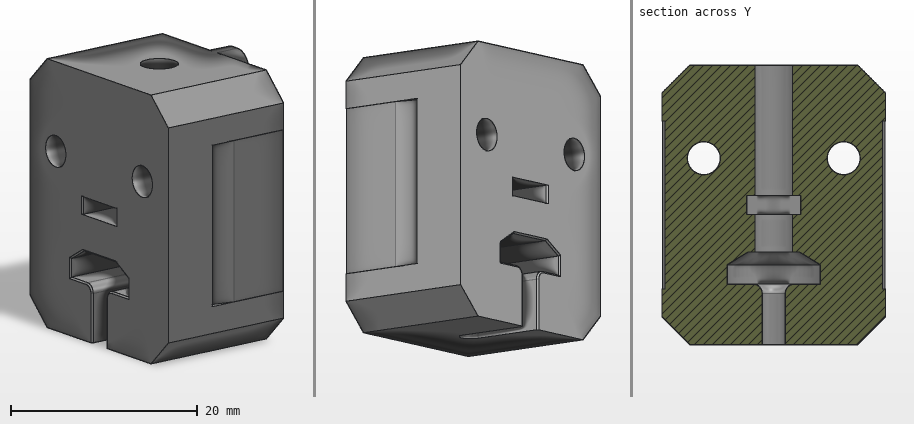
import cadquery as cq
import math

WIDTH = 24.0
HEIGHT = 30.0
BODY_DEPTH = 15.75
CORNER_CHAMFER = 3.0

KEY_LENGTH = 2.82
KEY_WIDTH = 5.0
KEY_BOTTOM = 9.95
KEY_FILLET = 2.0
KEY_DRAFT = 2.2

THROUGH_HOLE_DIAMETER = 3.5
THROUGH_HOLE_X = 7.5
THROUGH_HOLE_Z = 20.0

AXIS_Y = 8.22
BORE_DIAMETER = 4.08

NECK_RADIUS = 1.23
HEAD_RADIUS = 4.98
HEAD_FLOOR = 6.5
HEAD_SHOULDER = 8.58
ROOF_TOP = 9.93
ROOF_TOP_RADIUS = 2.75
NECK_FILLET = 1.0
ENTRY_CHAMFER = 0.18

POCKET_WIDTH = 5.8
POCKET_HEIGHT = 2.0
POCKET_Z = HEIGHT / 2
POCKET_DEPTH = AXIS_Y + POCKET_WIDTH / 2

GRIP_BOTTOM = 6.0
GRIP_HEIGHT = HEIGHT - 2 * GRIP_BOTTOM
GRIP_LENGTH = 9.75
GRIP_RAMP_LENGTH = 3.0
GRIP_SHALLOW_DEPTH = 0.05
GRIP_DEEP_DEPTH = 0.78


def make_body():
    block = cq.Workplane("XY").box(WIDTH, BODY_DEPTH, HEIGHT, centered=(True, False, False))
    return block.edges("|Y").chamfer(CORNER_CHAMFER)


def make_key():
    """Round-cornered key whose sides and underside taper towards the tip."""
    taper = KEY_LENGTH * math.tan(math.radians(KEY_DRAFT))

    def section(y, inset):
        bottom = KEY_BOTTOM + inset
        outline = cq.Sketch().rect(KEY_WIDTH - 2 * inset, HEIGHT - bottom)
        outline = outline.vertices().fillet(KEY_FILLET)
        middle = cq.Vector(0, y, (HEIGHT + bottom) / 2)
        return outline.moved(cq.Location(cq.Plane(middle, xDir=(1, 0, 0), normal=(0, -1, 0))))

    root = section(BODY_DEPTH, 0)
    tip = section(BODY_DEPTH + KEY_LENGTH, taper)
    return cq.Workplane("XY").placeSketch(root, tip).loft()


def slot_profile():
    """Half of the T-slot section, from the axis outwards."""
    arc_middle = NECK_FILLET * (1 - math.sqrt(0.5))
    return (
        cq.Workplane("XZ")
        .moveTo(0, 0)
        .lineTo(NECK_RADIUS, 0)
        .lineTo(NECK_RADIUS, HEAD_FLOOR - NECK_FILLET)
        .threePointArc(
            (NECK_RADIUS + arc_middle, HEAD_FLOOR - arc_middle),
            (NECK_RADIUS + NECK_FILLET, HEAD_FLOOR),
        )
        .lineTo(HEAD_RADIUS, HEAD_FLOOR)
        .lineTo(HEAD_RADIUS, HEAD_SHOULDER)
        .lineTo(ROOF_TOP_RADIUS, ROOF_TOP)
        .lineTo(0, ROOF_TOP)
        .close()
    )


def make_slot():
    """Cutter: half sections swept to the front, and turned about the axis for the end."""
    round_end = slot_profile().revolve(360, (0, 0), (0, 1))
    half = slot_profile().extrude(AXIS_Y)
    slot = round_end.union(half).union(half.mirror("YZ"))
    return slot.translate((0, AXIS_Y, 0))


def make_pocket():
    pocket = cq.Workplane("XY").box(
        POCKET_WIDTH, POCKET_DEPTH, POCKET_HEIGHT, centered=(True, False, True)
    )
    mouth = (
        cq.Workplane("XY")
        .polyline([
            (-POCKET_WIDTH / 2 - ENTRY_CHAMFER, 0),
            (POCKET_WIDTH / 2 + ENTRY_CHAMFER, 0),
            (POCKET_WIDTH / 2, ENTRY_CHAMFER),
            (-POCKET_WIDTH / 2, ENTRY_CHAMFER),
        ])
        .close()
        .extrude(POCKET_HEIGHT / 2, both=True)
    )
    return pocket.union(mouth).translate((0, 0, POCKET_Z))


def make_left_grip():
    side = -WIDTH / 2
    front = BODY_DEPTH - GRIP_LENGTH
    return (
        cq.Workplane("XY", origin=(0, 0, GRIP_BOTTOM))
        .polyline([
            (side, front),
            (side + GRIP_DEEP_DEPTH, front),
            (side + GRIP_SHALLOW_DEPTH, front + GRIP_RAMP_LENGTH),
            (side + GRIP_SHALLOW_DEPTH, BODY_DEPTH),
            (side, BODY_DEPTH),
        ])
        .close()
        .extrude(GRIP_HEIGHT)
    )


def chamfer_slot_entry(block):
    """Bevel the edges where the T-slot opens in the front face, leaving the block outline sharp."""
    reach = HEAD_RADIUS + ENTRY_CHAMFER
    opening = cq.selectors.BoxSelector(
        (-reach, -ENTRY_CHAMFER, ENTRY_CHAMFER),
        (reach, ENTRY_CHAMFER, ROOF_TOP + ENTRY_CHAMFER),
    )
    return block.faces("<Y").edges(opening).chamfer(ENTRY_CHAMFER)


body = make_body().cut(make_slot())
body = chamfer_slot_entry(body)

bore = cq.Workplane("XY", origin=(0, AXIS_Y, HEAD_SHOULDER))
bore = bore.circle(BORE_DIAMETER / 2).extrude(HEIGHT - HEAD_SHOULDER)
body = body.cut(bore).cut(make_pocket())

left_grip = make_left_grip()
body = body.cut(left_grip).cut(left_grip.mirror("YZ"))

through_holes = (
    cq.Workplane("XZ")
    .pushPoints([(-THROUGH_HOLE_X, THROUGH_HOLE_Z), (THROUGH_HOLE_X, THROUGH_HOLE_Z)])
    .circle(THROUGH_HOLE_DIAMETER / 2)
    .extrude(-BODY_DEPTH)
)
result = body.cut(through_holes).union(make_key())